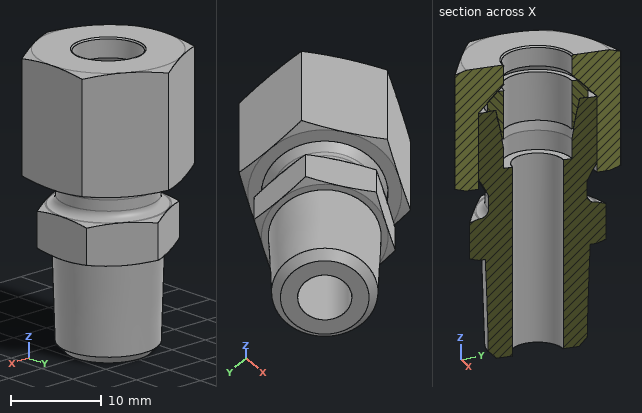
import cadquery as cq
import math


TOTAL_HEIGHT = 35.0
NUT_BOTTOM_Z = 20.5
COLLAR_TOP_Z = 17.0
COLLAR_BOTTOM_Z = 12.0

NUT_FLATS = 17.0
COLLAR_FLATS = 14.0
HEX_CHAMFER_ANGLE = math.radians(17)

TUBE_DIA = 8.0
FLOW_DIA = 6.0
TUBE_STOP_DEPTH = 7.0
NUT_MOUTH_CHAMFER = 0.18
NUT_BORE_DEPTH = 2.38

THREAD_DIA = 14.0
NECK_DIA = 11.7
NECK_FILLET = 1.0
RUNOUT_ANGLE = math.radians(30)
RUNOUT_BLEND_Z = 19.85

TAPER_TOP_DIA = 12.5
TAPER_BOTTOM_DIA = 11.8
TIP_DIA = 9.8
TIP_HEIGHT = 1.0

RING_TOP_DEPTH = 3.08
RING_SHOULDER_DIA = 12.0
SEAT_MOUTH_DIA = 10.0
SEAT_ANGLE = math.radians(12)
RING_NOSE_LENGTH = 3.5

NUT_CONE_TOP_Z = TOTAL_HEIGHT - NUT_BORE_DEPTH
BODY_TOP_Z = NUT_CONE_TOP_Z - (THREAD_DIA - TUBE_DIA) / 2
SEAT_BOTTOM_Z = BODY_TOP_Z - (SEAT_MOUTH_DIA - TUBE_DIA) / 2 / math.tan(SEAT_ANGLE)
TUBE_STOP_Z = BODY_TOP_Z - TUBE_STOP_DEPTH


def revolve(profile):
    """Turn a closed (radius, height) profile about the Z axis."""
    return profile.close().revolve(360, (0, 0, 0), (0, 1, 0))


def chamfered_hexagon(flats, bottom_z, top_z):
    """Hexagonal prism whose corners are turned off by a flat cone at both ends."""
    corner_radius = flats / math.sqrt(3)
    chamfer_height = (corner_radius - flats / 2) * math.tan(HEX_CHAMFER_ANGLE)
    prism = (
        cq.Workplane("XY", origin=(0, 0, bottom_z))
        .polygon(6, 2 * corner_radius)
        .extrude(top_z - bottom_z)
        .rotate((0, 0, 0), (0, 0, 1), 30)
    )
    envelope = revolve(
        cq.Workplane("XZ")
        .moveTo(0, bottom_z)
        .lineTo(flats / 2, bottom_z)
        .lineTo(corner_radius, bottom_z + chamfer_height)
        .lineTo(corner_radius, top_z - chamfer_height)
        .lineTo(flats / 2, top_z)
        .lineTo(0, top_z)
    )
    return prism.intersect(envelope)


def make_nut():
    """Union nut: thread bore, 45 degree cone and tube bore with a chamfered mouth."""
    tube_radius = TUBE_DIA / 2
    cavity = revolve(
        cq.Workplane("XZ")
        .moveTo(0, NUT_BOTTOM_Z)
        .lineTo(THREAD_DIA / 2, NUT_BOTTOM_Z)
        .lineTo(THREAD_DIA / 2, BODY_TOP_Z)
        .lineTo(tube_radius, NUT_CONE_TOP_Z)
        .lineTo(tube_radius, TOTAL_HEIGHT - NUT_MOUTH_CHAMFER)
        .lineTo(tube_radius + NUT_MOUTH_CHAMFER, TOTAL_HEIGHT)
        .lineTo(0, TOTAL_HEIGHT)
    )
    return chamfered_hexagon(NUT_FLATS, NUT_BOTTOM_Z, TOTAL_HEIGHT).cut(cavity)


def make_ring():
    """Cutting ring: its shoulder fits the nut cone and its nose fits the body seat."""
    top_z = TOTAL_HEIGHT - RING_TOP_DEPTH
    top_radius = TUBE_DIA / 2 + NUT_CONE_TOP_Z - top_z
    shoulder_radius = RING_SHOULDER_DIA / 2
    shoulder_z = top_z - (shoulder_radius - top_radius)
    nose_z = BODY_TOP_Z - RING_NOSE_LENGTH
    nose_radius = SEAT_MOUTH_DIA / 2 - RING_NOSE_LENGTH * math.tan(SEAT_ANGLE)
    return revolve(
        cq.Workplane("XZ")
        .moveTo(TUBE_DIA / 2, top_z)
        .lineTo(top_radius, top_z)
        .lineTo(shoulder_radius, shoulder_z)
        .lineTo(shoulder_radius, BODY_TOP_Z)
        .lineTo(SEAT_MOUTH_DIA / 2, BODY_TOP_Z)
        .lineTo(nose_radius, nose_z)
        .lineTo(TUBE_DIA / 2, nose_z)
    )


def make_threaded_stem():
    """Pipe thread cone, undercut neck and straight thread, all as plain turned surfaces."""
    neck_radius = NECK_DIA / 2
    thread_radius = THREAD_DIA / 2
    fillet_center_radius = neck_radius + NECK_FILLET

    def runout_arc_point(angle):
        """Point on the upper neck fillet, at an angle turned from the neck."""
        radius = fillet_center_radius - NECK_FILLET * math.cos(angle)
        z = RUNOUT_BLEND_Z - NECK_FILLET * (math.sin(RUNOUT_ANGLE) - math.sin(angle))
        return radius, z

    def collar_arc_point(angle):
        """Point on the lower neck fillet, at an angle turned from the neck."""
        radius = fillet_center_radius - NECK_FILLET * math.cos(angle)
        z = COLLAR_TOP_Z + NECK_FILLET * (1 - math.sin(angle))
        return radius, z

    blend_radius = runout_arc_point(RUNOUT_ANGLE)[0]
    runout_top_z = RUNOUT_BLEND_Z + (thread_radius - blend_radius) / math.tan(RUNOUT_ANGLE)
    return revolve(
        cq.Workplane("XZ")
        .moveTo(0, 0)
        .lineTo(TIP_DIA / 2, 0)
        .lineTo(TAPER_BOTTOM_DIA / 2, TIP_HEIGHT)
        .lineTo(TAPER_TOP_DIA / 2, COLLAR_BOTTOM_Z)
        .lineTo(TAPER_TOP_DIA / 2, COLLAR_TOP_Z)
        .lineTo(*collar_arc_point(math.pi / 2))
        .threePointArc(collar_arc_point(math.pi / 4), collar_arc_point(0))
        .lineTo(*runout_arc_point(0))
        .threePointArc(runout_arc_point(RUNOUT_ANGLE / 2), runout_arc_point(RUNOUT_ANGLE))
        .lineTo(thread_radius, runout_top_z)
        .lineTo(thread_radius, BODY_TOP_Z)
        .lineTo(0, BODY_TOP_Z)
    )


def make_body():
    """Screw-in body: stem with hexagon collar, ring seat, tube socket and flow bore."""
    bore = revolve(
        cq.Workplane("XZ")
        .moveTo(0, 0)
        .lineTo(FLOW_DIA / 2, 0)
        .lineTo(FLOW_DIA / 2, TUBE_STOP_Z)
        .lineTo(TUBE_DIA / 2, TUBE_STOP_Z)
        .lineTo(TUBE_DIA / 2, SEAT_BOTTOM_Z)
        .lineTo(SEAT_MOUTH_DIA / 2, BODY_TOP_Z)
        .lineTo(0, BODY_TOP_Z)
    )
    collar = chamfered_hexagon(COLLAR_FLATS, COLLAR_BOTTOM_Z, COLLAR_TOP_Z)
    return make_threaded_stem().union(collar).cut(bore)


nut = make_nut()
ring = make_ring()
body = make_body()

result = cq.Compound.makeCompound([nut.val(), ring.val(), body.val()])